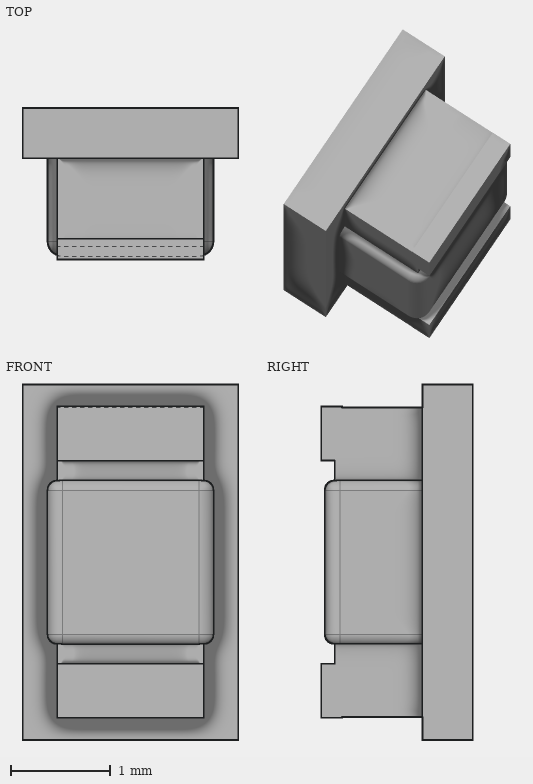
import cadquery as cq

PLATE_WIDTH = 2.16
PLATE_HEIGHT = 3.56
PLATE_DEPTH = 0.505
TOTAL_DEPTH = 1.52

CORE_WIDTH = 1.47
CORE_HEIGHT = 3.1
CORE_DEPTH = 0.88
PAD_OUTER_HEIGHT = 3.12
PAD_GAP = 2.033
PAD_DEPTH = 0.21

WINDING_WIDTH = 1.663
WINDING_HEIGHT = 1.638
WINDING_DEPTH = 0.98
WINDING_RADIUS = 0.1
WINDING_FRONT_RADIUS = 0.15

plate_front = -PLATE_DEPTH
pad_back = PAD_DEPTH - TOTAL_DEPTH
pad_height = (PAD_OUTER_HEIGHT - PAD_GAP) / 2
pad_center = (PAD_OUTER_HEIGHT + PAD_GAP) / 4


def block(width, depth, height, back_y, center_z=0):
    """Box centred on X that extends from back_y toward -Y."""
    return cq.Workplane("XY").box(width, depth, height).translate((0, back_y - depth / 2, center_z))


def winding():
    return (
        block(WINDING_WIDTH, WINDING_DEPTH, WINDING_HEIGHT, plate_front)
        .edges("|Z and <Y")
        .fillet(WINDING_FRONT_RADIUS)
        .faces("<Z or >Z")
        .edges("not >Y")
        .fillet(WINDING_RADIUS)
    )


result = block(PLATE_WIDTH, PLATE_DEPTH, PLATE_HEIGHT, 0)
result = result.union(block(CORE_WIDTH, CORE_DEPTH, CORE_HEIGHT, plate_front))
result = result.union(winding())
for side in (-1, 1):
    result = result.union(block(CORE_WIDTH, PAD_DEPTH, pad_height, pad_back, side * pad_center))